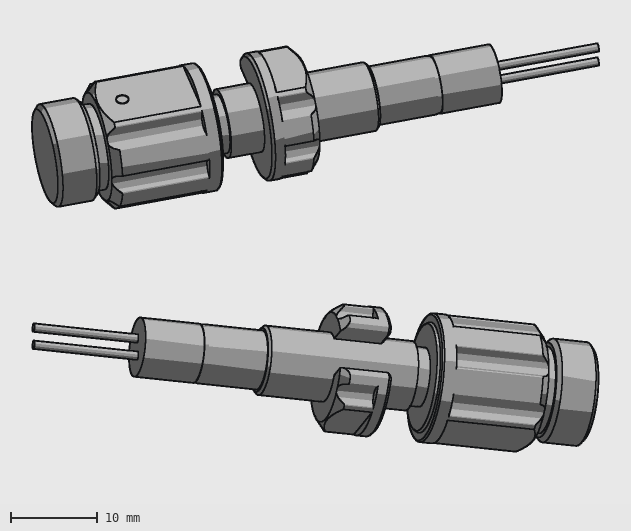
import cadquery as cq
import math


GRIP_RADIUS = 7.5
FLAT_HEIGHT = 6.5
GRIP_CONE_RADIUS = 6.35
GRIP_CONE_LENGTH = 1.0
GROOVE_ROOT_RADIUS = 1.2
GROOVE_ROOT_CENTER = GRIP_RADIUS
GROOVE_WALL_ANGLE = 30
GROOVE_RIM_ROUNDING = 0.2
GROOVE_ANGLES = [0, 45, 135, 180, 225, 315]

HEAD_RADIUS = 6.0
HEAD_END = 5.05
HEAD_FRONT_CHAMFER = 0.45
HEAD_FACE_RADIUS = 5.5
HEAD_REAR_CHAMFER = 0.5
HEAD_NECK_RADIUS = 5.05

HOUSING_FRONT = 6.2
FLANGE_FRONT = 17.6
FLANGE_REAR = 19.3
FLANGE_CHAMFER = 0.2
RIM_BASE_RADIUS = 6.4
RIM_END_RADIUS = 6.2
RIM_REAR = 19.6

DIMPLE_RADIUS = 0.7
DIMPLE_Y = 9.3
DIMPLE_DEPTH = 0.1

REAR_NECK_RADIUS = 3.45
SHAFT_RADIUS = 4.05
SHAFT_FRONT = 21.2
SHAFT_REAR = 39.15
SHAFT_CHAMFER = 0.3
TAIL_RADIUS = 3.45
TAIL_JOINT = 46.7
TAIL_NOTCH_LENGTH = 0.5
TAIL_NOTCH_DEPTH = 0.1
TAIL_REAR = 53.8

WIRE_RADIUS = 0.5
WIRE_OFFSET = 1.05
WIRE_END = 66.25

NUT_FRONT = 25.2
NUT_FLANGE_REAR = 26.7
NUT_REAR = 31.15
NUT_CHAMFER = 0.3
SLOT_HALF_HEIGHT = 2.25
LIP_RADIUS = 0.9


def revolve_about_y(points):
    """Solid of revolution about Y from (radius, y) points."""
    return cq.Workplane("XY").polyline(points).close().revolve(360, (0, 0, 0), (0, 1, 0))


def section(y):
    """Workplane across the axis at y: local x is -X, local y is Z, extruding toward +Y."""
    return cq.Workplane(cq.Plane(origin=(0, y, 0), xDir=(-1, 0, 0), normal=(0, 1, 0)))


def groove_cutter(start, end):
    """V-groove with a round root along the grip at +X, from start to end."""
    slope = math.radians(GROOVE_WALL_ANGLE)
    tangent_x = GROOVE_ROOT_CENTER - GROOVE_ROOT_RADIUS * math.sin(slope)
    tangent_z = GROOVE_ROOT_RADIUS * math.cos(slope)
    outer_x = GRIP_RADIUS + GROOVE_ROOT_RADIUS
    outer_z = tangent_z + (outer_x - tangent_x) * math.tan(slope)
    return (
        section(start)
        .moveTo(-outer_x, outer_z)
        .lineTo(-tangent_x, tangent_z)
        .threePointArc((GROOVE_ROOT_RADIUS - GROOVE_ROOT_CENTER, 0), (-tangent_x, -tangent_z))
        .lineTo(-outer_x, -outer_z)
        .close()
        .extrude(end - start)
    )


def make_grip(start, end):
    """Round bar with two flats and six grooves with rounded rims."""
    length = end - start
    grip = section(start).circle(GRIP_RADIUS).extrude(length)
    for angle in GROOVE_ANGLES:
        grip = grip.cut(groove_cutter(start, end).rotate((0, 0, 0), (0, 1, 0), angle))

    rim_edges = [
        edge for edge in grip.edges("|Y").vals()
        if math.hypot(edge.Center().x, edge.Center().z) > GRIP_RADIUS - GROOVE_RIM_ROUNDING
    ]
    grip = grip.newObject(rim_edges).fillet(GROOVE_RIM_ROUNDING)

    between_flats = (
        cq.Workplane("XY", origin=(0, start, 0))
        .box(2 * GRIP_RADIUS, length, 2 * FLAT_HEIGHT, centered=(True, False, True))
    )
    return grip.intersect(between_flats)


def make_head():
    rear_radius = HEAD_RADIUS - HEAD_REAR_CHAMFER
    return revolve_about_y([
        (0, 0),
        (HEAD_FACE_RADIUS, 0),
        (HEAD_RADIUS, HEAD_FRONT_CHAMFER),
        (HEAD_RADIUS, HEAD_END - HEAD_REAR_CHAMFER),
        (rear_radius, HEAD_END),
        (HEAD_NECK_RADIUS, HEAD_END),
        (HEAD_NECK_RADIUS, HOUSING_FRONT),
        (0, HOUSING_FRONT),
    ])


def make_housing():
    front_cone = revolve_about_y([
        (0, HOUSING_FRONT),
        (GRIP_CONE_RADIUS, HOUSING_FRONT),
        (GRIP_RADIUS, HOUSING_FRONT + GRIP_CONE_LENGTH),
        (GRIP_RADIUS, FLANGE_FRONT),
        (0, FLANGE_FRONT),
    ])
    flange = revolve_about_y([
        (0, FLANGE_FRONT),
        (GRIP_RADIUS, FLANGE_FRONT),
        (GRIP_RADIUS, FLANGE_REAR - FLANGE_CHAMFER),
        (GRIP_RADIUS - FLANGE_CHAMFER, FLANGE_REAR),
        (RIM_BASE_RADIUS, FLANGE_REAR),
        (RIM_END_RADIUS, RIM_REAR),
        (0, RIM_REAR),
    ])
    grip = make_grip(HOUSING_FRONT, FLANGE_FRONT).intersect(front_cone)
    dimple = (
        cq.Workplane("XY", origin=(0, DIMPLE_Y, FLAT_HEIGHT - DIMPLE_DEPTH))
        .circle(DIMPLE_RADIUS)
        .extrude(DIMPLE_DEPTH)
    )
    return grip.union(flange).cut(dimple)


def make_shaft():
    return revolve_about_y([
        (0, RIM_REAR),
        (REAR_NECK_RADIUS, RIM_REAR),
        (REAR_NECK_RADIUS, SHAFT_FRONT),
        (SHAFT_RADIUS, SHAFT_FRONT),
        (SHAFT_RADIUS, SHAFT_REAR - SHAFT_CHAMFER),
        (SHAFT_RADIUS - SHAFT_CHAMFER, SHAFT_REAR),
        (TAIL_RADIUS, SHAFT_REAR),
        (TAIL_RADIUS, TAIL_JOINT - TAIL_NOTCH_LENGTH),
        (TAIL_RADIUS - TAIL_NOTCH_DEPTH, TAIL_JOINT),
        (TAIL_RADIUS, TAIL_JOINT),
        (TAIL_RADIUS, TAIL_REAR),
        (0, TAIL_REAR),
    ])


def make_wires():
    wire_places = [(0, WIRE_OFFSET), (0, -WIRE_OFFSET)]
    return section(TAIL_REAR).pushPoints(wire_places).circle(WIRE_RADIUS).extrude(WIRE_END - TAIL_REAR)


def make_plug():
    """Head, housing, shaft and wires as one body."""
    return make_head().union(make_housing()).union(make_shaft()).union(make_wires())


def open_ring(length):
    """Nut blank from its front face: a disc with a slot toward -X and rounded lips."""
    disc = section(NUT_FRONT).circle(GRIP_RADIUS).extrude(length)
    slot = (
        cq.Workplane("XY", origin=(-GRIP_RADIUS, NUT_FRONT, 0))
        .box(GRIP_RADIUS, length, 2 * SLOT_HALF_HEIGHT, centered=(False, False, True))
    )
    return disc.cut(slot).edges("|Y").edges("<X").fillet(LIP_RADIUS)


def make_clip_nut():
    flange_length = NUT_FLANGE_REAR - NUT_FRONT
    length = NUT_REAR - NUT_FRONT
    rear_cone = revolve_about_y([
        (0, NUT_FLANGE_REAR),
        (GRIP_RADIUS, NUT_FLANGE_REAR),
        (GRIP_RADIUS, NUT_REAR - GRIP_CONE_LENGTH),
        (GRIP_CONE_RADIUS, NUT_REAR),
        (0, NUT_REAR),
    ])
    envelope = open_ring(length)
    flange = open_ring(flange_length).faces("<Y").edges().chamfer(NUT_CHAMFER)
    grip = make_grip(NUT_FLANGE_REAR, NUT_REAR).intersect(rear_cone).intersect(envelope)
    bore = section(NUT_FRONT).circle(SHAFT_RADIUS).extrude(length)
    return flange.union(grip).cut(bore)


plug = make_plug()
clip_nut = make_clip_nut()
result = cq.Compound.makeCompound([plug.val(), clip_nut.val()])